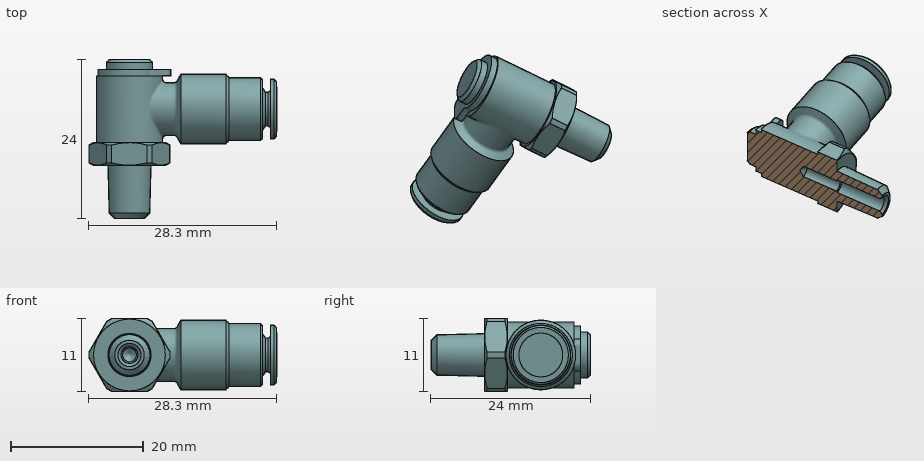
import cadquery as cq
import math


BODY_RADIUS = 5.0
BODY_HALF_LENGTH = 5.0
CAP_RADIUS = 3.5
CAP_HEIGHT = 2.5
CAP_CHAMFER = 0.5

NUT_HEIGHT = 3.5
NUT_ACROSS_FLATS = 11.0
NUT_CORNER_RADIUS = 6.1
NUT_FACE_RADIUS = 5.4
NUT_CHAMFER_ANGLE = 30.0
NUT_SIDES = 6

STEM_LENGTH = 8.0
STEM_ROOT_RADIUS = 3.25
STEM_TIP_RADIUS = 3.07
STEM_CHAMFER = 0.85
BORE_RADIUS = 1.27
BORE_MOUTH_RADIUS = 1.74
BORE_MOUTH_DEPTH = BORE_MOUTH_RADIUS - BORE_RADIUS
PILOT_RADIUS = 1.04
BORE_DEPTH = 8.0
PILOT_DEPTH = 14.0
DRILL_POINT_ANGLE = 118.0

CLIP_THICKNESS = 1.0
CLIP_RADIUS = 4.4
CLIP_OFFSET = -0.36
CLIP_TAB_END = 6.25
CLIP_TAB_HALF_WIDTH = 2.4
CLIP_TAB_CORNER_RADIUS = 1.22
CLIP_TAB_ROOT_RADIUS = 1.14

NECK_RADIUS = 4.0
NECK_BODY_FILLET = 0.5
NECK_SLEEVE_FILLET = 0.5
SLEEVE_RADIUS = 5.25
SLEEVE_START = 7.74
SLEEVE_CONE_ANGLE = 30.0
SLEEVE_STEP = 15.0
SLEEVE_END_RADIUS = 4.75
SLEEVE_END = 20.05
SLEEVE_END_CHAMFER = 0.33

COLLAR_THROAT_RADIUS = 2.56
COLLAR_INNER_CONE_RADIUS = 3.18
COLLAR_INNER_CONE_LENGTH = 0.42
COLLAR_OUTER_CONE_RADIUS = 2.77
COLLAR_OUTER_CONE_LENGTH = 0.35
COLLAR_RADIUS = 4.5
COLLAR_START = 21.22
COLLAR_RIM_END = 22.14
COLLAR_CHAMFER = 0.35
COLLAR_LIP_RADIUS = 3.3
COLLAR_END = 22.2

CAP_TOP = BODY_HALF_LENGTH + CAP_HEIGHT
NUT_TOP = -BODY_HALF_LENGTH
NUT_BOTTOM = NUT_TOP - NUT_HEIGHT
STEM_TIP = NUT_BOTTOM - STEM_LENGTH
BORE_END = STEM_TIP + BORE_DEPTH
PILOT_END = STEM_TIP + PILOT_DEPTH


def turned_about_y(outline):
    """Solid of revolution about Y from (radius, y) points."""
    return cq.Workplane("XY").polyline(outline).close().revolve(360, (0, 0, 0), (0, 1, 0))


def make_body_and_cap():
    return turned_about_y([
        (0, NUT_TOP),
        (BODY_RADIUS, NUT_TOP),
        (BODY_RADIUS, BODY_HALF_LENGTH),
        (CAP_RADIUS, BODY_HALF_LENGTH),
        (CAP_RADIUS, CAP_TOP - CAP_CHAMFER),
        (CAP_RADIUS - CAP_CHAMFER, CAP_TOP),
        (0, CAP_TOP),
    ])


def make_neck():
    return cq.Workplane("YZ").circle(NECK_RADIUS).extrude(SLEEVE_START)


def make_nut():
    hexagon_diameter = NUT_ACROSS_FLATS / math.cos(math.pi / NUT_SIDES)
    hexagon = cq.Workplane("XZ", origin=(0, NUT_TOP, 0)).polygon(NUT_SIDES, hexagon_diameter)
    corner_clip = (
        cq.Workplane("XZ", origin=(0, NUT_TOP, 0))
        .transformed(rotate=(0, 0, 180 / NUT_SIDES))
        .polygon(NUT_SIDES, 2 * NUT_CORNER_RADIUS / math.cos(math.pi / NUT_SIDES))
        .extrude(NUT_HEIGHT)
    )
    envelope_radius = hexagon_diameter / 2
    chamfer_height = (envelope_radius - NUT_FACE_RADIUS) * math.tan(math.radians(NUT_CHAMFER_ANGLE))
    envelope = turned_about_y([
        (0, NUT_BOTTOM),
        (NUT_FACE_RADIUS, NUT_BOTTOM),
        (envelope_radius, NUT_BOTTOM + chamfer_height),
        (envelope_radius, NUT_TOP - chamfer_height),
        (NUT_FACE_RADIUS, NUT_TOP),
        (0, NUT_TOP),
    ])
    return hexagon.extrude(NUT_HEIGHT).intersect(corner_clip).intersect(envelope)


def make_stem():
    return turned_about_y([
        (0, NUT_BOTTOM),
        (STEM_ROOT_RADIUS, NUT_BOTTOM),
        (STEM_TIP_RADIUS, STEM_TIP + STEM_CHAMFER),
        (STEM_TIP_RADIUS - STEM_CHAMFER, STEM_TIP),
        (0, STEM_TIP),
    ])


def make_bore():
    """Countersunk blind bore that narrows over a conical shoulder to a drilled pilot hole."""
    drill_slope = 1 / math.tan(math.radians(DRILL_POINT_ANGLE / 2))
    shoulder_height = (BORE_RADIUS - PILOT_RADIUS) * drill_slope
    point_height = PILOT_RADIUS * drill_slope
    return turned_about_y([
        (0, STEM_TIP),
        (BORE_MOUTH_RADIUS, STEM_TIP),
        (BORE_RADIUS, STEM_TIP + BORE_MOUTH_DEPTH),
        (BORE_RADIUS, BORE_END),
        (PILOT_RADIUS, BORE_END + shoulder_height),
        (PILOT_RADIUS, PILOT_END),
        (0, PILOT_END + point_height),
    ])


def make_clip():
    """Round plate with a tab toward +X that has rounded corners and filleted roots."""
    disc = (
        cq.Workplane("XZ", origin=(0, BODY_HALF_LENGTH, 0))
        .center(CLIP_OFFSET, 0)
        .circle(CLIP_RADIUS)
        .extrude(-CLIP_THICKNESS)
    )
    tab = (
        cq.Workplane("XY")
        .box(CLIP_TAB_END, CLIP_THICKNESS, 2 * CLIP_TAB_HALF_WIDTH, centered=(False, False, True))
        .edges("|Y and >X")
        .fillet(CLIP_TAB_CORNER_RADIUS)
        .translate((0, BODY_HALF_LENGTH, 0))
    )
    root_x = CLIP_OFFSET + math.sqrt(CLIP_RADIUS**2 - CLIP_TAB_HALF_WIDTH**2)
    root_middle_y = BODY_HALF_LENGTH + CLIP_THICKNESS / 2
    clip = disc.union(tab)
    for root_z in (-CLIP_TAB_HALF_WIDTH, CLIP_TAB_HALF_WIDTH):
        root_edge = cq.selectors.NearestToPointSelector((root_x, root_middle_y, root_z))
        clip = clip.edges("|Y").edges(root_edge).fillet(CLIP_TAB_ROOT_RADIUS)
    return clip


def make_sleeve_and_collar():
    cone_angle = math.radians(SLEEVE_CONE_ANGLE)
    cone_start = SLEEVE_START - (SLEEVE_RADIUS - NECK_RADIUS) * math.tan(cone_angle)
    turn = math.pi / 2 - cone_angle
    fillet_start = cone_start - NECK_SLEEVE_FILLET * math.tan(turn / 2)

    def fillet_point(angle):
        x = fillet_start + NECK_SLEEVE_FILLET * math.sin(angle)
        return x, NECK_RADIUS + NECK_SLEEVE_FILLET * (1 - math.cos(angle))

    shoulder = SLEEVE_RADIUS - SLEEVE_END_RADIUS
    outline = (
        cq.Workplane("XY")
        .moveTo(fillet_start, 0)
        .lineTo(fillet_start, NECK_RADIUS)
        .threePointArc(fillet_point(turn / 2), fillet_point(turn))
        .lineTo(SLEEVE_START, SLEEVE_RADIUS)
        .lineTo(SLEEVE_STEP - shoulder, SLEEVE_RADIUS)
        .lineTo(SLEEVE_STEP, SLEEVE_END_RADIUS)
        .lineTo(SLEEVE_END - SLEEVE_END_CHAMFER, SLEEVE_END_RADIUS)
        .lineTo(SLEEVE_END, SLEEVE_END_RADIUS - SLEEVE_END_CHAMFER)
        .lineTo(SLEEVE_END, COLLAR_INNER_CONE_RADIUS)
        .lineTo(SLEEVE_END + COLLAR_INNER_CONE_LENGTH, COLLAR_THROAT_RADIUS)
        .lineTo(COLLAR_START - COLLAR_OUTER_CONE_LENGTH, COLLAR_THROAT_RADIUS)
        .lineTo(COLLAR_START, COLLAR_OUTER_CONE_RADIUS)
        .lineTo(COLLAR_START, COLLAR_RADIUS)
        .lineTo(COLLAR_RIM_END - COLLAR_CHAMFER, COLLAR_RADIUS)
        .lineTo(COLLAR_RIM_END, COLLAR_RADIUS - COLLAR_CHAMFER)
        .lineTo(COLLAR_RIM_END, COLLAR_LIP_RADIUS)
        .lineTo(COLLAR_END, COLLAR_LIP_RADIUS)
        .lineTo(COLLAR_END, 0)
        .close()
    )
    return outline.revolve(360, (0, 0, 0), (1, 0, 0))


elbow = make_body_and_cap().union(make_neck())
neck_seam = cq.selectors.BoxSelector(
    (0, -NECK_RADIUS, -NECK_RADIUS),
    (BODY_RADIUS, NECK_RADIUS, NECK_RADIUS),
    boundingbox=False,
)
elbow = elbow.edges(neck_seam).fillet(NECK_BODY_FILLET)

result = (
    elbow
    .union(make_sleeve_and_collar())
    .union(make_clip())
    .union(make_nut())
    .union(make_stem())
    .cut(make_bore())
)